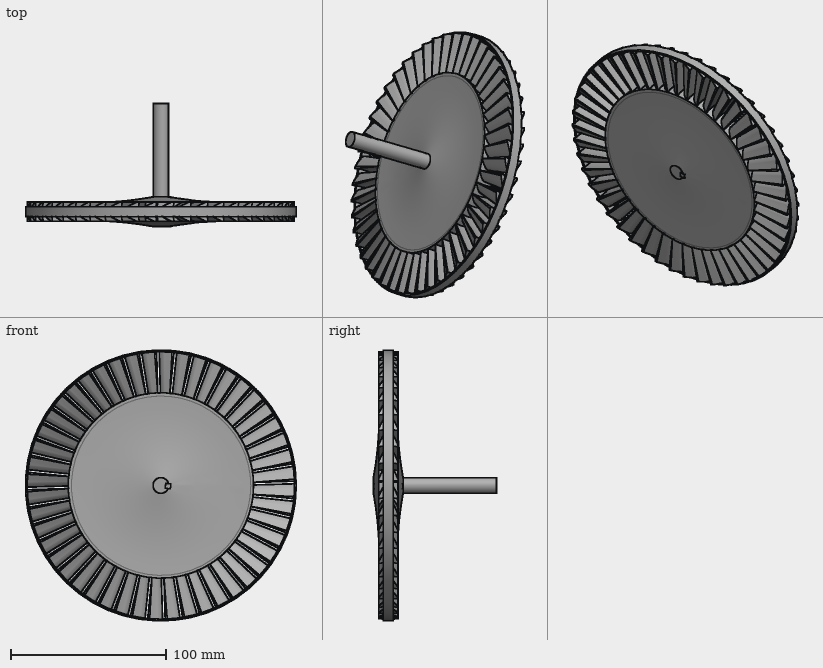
import cadquery as cq
import math


SHAFT_RADIUS = 5.0
SHAFT_FRONT = -9.6
SHAFT_LENGTH = 79.4
KEY_WIDTH = 3.1
KEY_INNER = 3.0
KEY_OUTER = 6.3
KEY_ANGLE = -5.0

HUB_RADIUS = 59.7
RIM_WIDTH = 2.0
DISH_RADIUS = HUB_RADIUS - RIM_WIDTH
HUB_HALF_WIDTH = 6.3
BOSS_HALF_WIDTH = abs(SHAFT_FRONT)
DISH_SAG = 1.5

RING_RADIUS = 87.2
RING_THICKNESS = 1.2
RING_INNER = RING_RADIUS - RING_THICKNESS
RING_WIDTH = 6.5

BLADE_COUNT = 48
BLADE_PHASE = 1.8
BLADE_HALF_WIDTH = HUB_HALF_WIDTH
NOSE_RADIUS = 3.1
HOLLOW_DEPTH = 0.7
ROOT_DEPTH = 6.3
TIP_DEPTH = 9.8
ROOT_EDGE = 0.2
TIP_EDGE = 1.4
ROOT_EMBED = 0.7


def cylinder(radius, y_start, y_end):
    """Solid cylinder about the Y axis."""
    return cq.Workplane("XZ", origin=(0, y_start, 0)).circle(radius).extrude(y_start - y_end)


def make_shaft():
    shaft = cylinder(SHAFT_RADIUS, SHAFT_FRONT, SHAFT_FRONT + SHAFT_LENGTH)
    return shaft.cut(make_key())


def make_key():
    """Rectangular key, as long as the hub is wide at its bore."""
    key = cq.Workplane("XY").box(KEY_OUTER - KEY_INNER, 2 * BOSS_HALF_WIDTH, KEY_WIDTH)
    key = key.translate(((KEY_INNER + KEY_OUTER) / 2, 0, 0))
    return turn(key, KEY_ANGLE)


def turn(shape, angle):
    """Turn a shape about the Y axis, from +X towards +Z."""
    return shape.rotate((0, 0, 0), (0, 1, 0), -angle)


def make_hub():
    middle_radius = (SHAFT_RADIUS + DISH_RADIUS) / 2
    middle_height = (BOSS_HALF_WIDTH + HUB_HALF_WIDTH) / 2 - DISH_SAG
    half_profile = (
        cq.Workplane("XY")
        .lineTo(0, BOSS_HALF_WIDTH)
        .lineTo(SHAFT_RADIUS, BOSS_HALF_WIDTH)
        .threePointArc((middle_radius, middle_height), (DISH_RADIUS, HUB_HALF_WIDTH))
        .lineTo(HUB_RADIUS, HUB_HALF_WIDTH)
        .lineTo(HUB_RADIUS, -HUB_HALF_WIDTH)
        .lineTo(DISH_RADIUS, -HUB_HALF_WIDTH)
        .threePointArc((middle_radius, -middle_height), (SHAFT_RADIUS, -BOSS_HALF_WIDTH))
        .lineTo(0, -BOSS_HALF_WIDTH)
        .close()
    )
    return half_profile.revolve(360, (0, 0, 0), (0, 1, 0))


def make_ring():
    half = RING_WIDTH / 2
    return cylinder(RING_RADIUS, -half, half).cut(cylinder(RING_INNER, -half, half))


def blade_section(radius, depth, edge):
    """Bucket outline at one radius: local x runs along the axis, local y from the edges to the nose."""
    plane = cq.Plane(origin=(radius, 0, 0), xDir=(0, 1, 0), normal=(1, 0, 0))
    half = BLADE_HALF_WIDTH
    nose_centre = depth - NOSE_RADIUS
    rise = nose_centre - edge
    flank = math.atan2(rise, half) + math.asin(NOSE_RADIUS / math.hypot(half, rise))
    touch_x = NOSE_RADIUS * math.sin(flank)
    touch_y = nose_centre + NOSE_RADIUS * math.cos(flank)
    back_points = [(touch_x, touch_y), (0, depth), (-touch_x, touch_y), (-half, edge)]
    slope_x = math.cos(flank)
    slope_y = math.sin(flank)
    return (
        cq.Workplane(plane)
        .moveTo(half, 0)
        .lineTo(half, edge)
        .spline(back_points, tangents=[(-slope_x, slope_y), (-slope_x, -slope_y)], includeCurrent=True)
        .lineTo(-half, 0)
        .threePointArc((0, HOLLOW_DEPTH), (half, 0))
        .close()
        .wires()
        .val()
    )


def make_blade():
    """Blade along +X, trimmed to the inside of the ring."""
    root = blade_section(HUB_RADIUS - ROOT_EMBED, ROOT_DEPTH, ROOT_EDGE)
    tip = blade_section(RING_INNER, TIP_DEPTH, TIP_EDGE)
    blade = cq.Workplane(obj=cq.Solid.makeLoft([root, tip], True))
    return blade.intersect(cylinder(RING_INNER, -BLADE_HALF_WIDTH, BLADE_HALF_WIDTH))


def make_rotor():
    """Hub, blades and shroud ring in one piece, bored for the shaft and the key."""
    blade = make_blade()
    blades = [
        turn(blade, BLADE_PHASE + i * 360 / BLADE_COUNT).val() for i in range(BLADE_COUNT)
    ]
    wheel = make_hub().val().fuse(make_ring().val(), *blades)
    bore = cylinder(SHAFT_RADIUS, -BOSS_HALF_WIDTH, BOSS_HALF_WIDTH)
    return cq.Workplane(obj=wheel).cut(bore).cut(make_key())


rotor = make_rotor()
shaft = make_shaft()
key = make_key()

result = cq.Compound.makeCompound([rotor.solids().val(), shaft.solids().val(), key.val()])